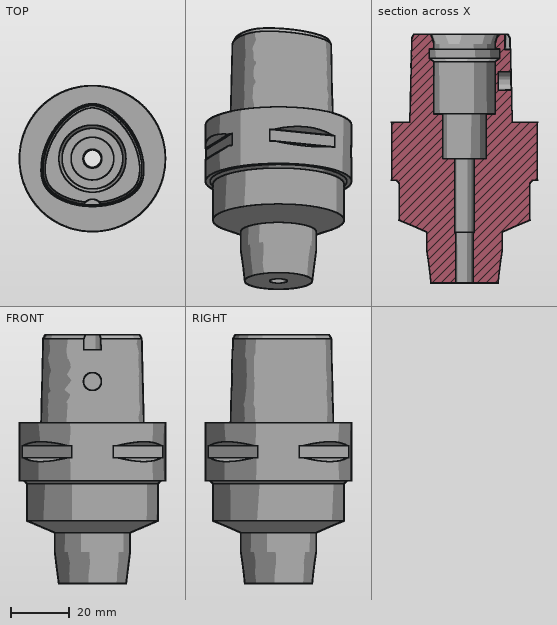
import cadquery as cq
import math

height = 85.0

nose_tip_radius = 11.6
nose_radius = 12.9
nose_taper_top = 10.7
nose_top = 17.3
body_radius = 22.4
body_bottom = 21.4
body_top = 34.1
flange_radius = 25.0
flange_relief_radius = 23.4
flange_bottom = 35.1
flange_top = 55.0

shank_base_radius = 17.6
shank_end_radius = 16.9
lobe_height = 1.2
shank_chamfer_height = 1.4
shank_chamfer_inset = 0.8
profile_points = 48

mouth_radius = 11.5
bore_radius = 10.4
groove_radius = 12.0
mouth_depth = 3.3
groove_start_depth = 5.1
groove_end_depth = 8.2
groove_taper_depth = 9.35
bore_depth = 27.2
pilot_radius = 7.3
pilot_depth = 42.5
through_radius = 3.2
nose_hole_radius = 3.0
nose_hole_top = nose_top

notch_radius = 3.3
notch_center = 17.2
notch_depth = 5.2
cross_hole_radius = 3.1
cross_hole_level = 69.0
cross_hole_floor = 11.6

slot_count = 4
slot_start_angle = 45.0
slot_floor_distance = 21.9
slot_flare_distance = 22.6
slot_floor_height = 4.1
slot_side_rise = 1.4
slot_level = 45.05


def turned_body():
    outline = [
        (0, 0),
        (nose_tip_radius, 0),
        (nose_radius, nose_taper_top),
        (nose_radius, nose_top),
        (body_radius, body_bottom),
        (body_radius, body_top),
        (flange_relief_radius, flange_bottom),
        (flange_radius, flange_bottom),
        (flange_radius, flange_top),
        (0, flange_top),
    ]
    return cq.Workplane("XZ").polyline(outline).close().revolve(360, (0, 0), (0, 1))


def lobed_wire(mean_radius, level):
    """Constant-width profile with one lobe on +Y, built from its tangent distance."""
    points = []
    for i in range(profile_points):
        angle = 2 * math.pi * i / profile_points
        distance = mean_radius - lobe_height * math.sin(3 * angle)
        slope = -3 * lobe_height * math.cos(3 * angle)
        x = distance * math.cos(angle) - slope * math.sin(angle)
        y = distance * math.sin(angle) + slope * math.cos(angle)
        points.append(cq.Vector(x, y, level))
    return cq.Wire.assembleEdges([cq.Edge.makeSpline(points, periodic=True)])


def polygon_shank():
    chamfer_level = height - shank_chamfer_height
    base = lobed_wire(shank_base_radius, flange_top)
    shoulder = lobed_wire(shank_end_radius, chamfer_level)
    end = lobed_wire(shank_end_radius - shank_chamfer_inset, height)
    taper = cq.Solid.makeLoft([base, shoulder], True)
    chamfer = cq.Solid.makeLoft([shoulder, end], True)
    return cq.Workplane(taper).union(cq.Workplane(chamfer))


def stepped_bore():
    outline = [
        (0, height),
        (mouth_radius, height),
        (bore_radius, height - mouth_depth),
        (bore_radius, height - groove_start_depth),
        (groove_radius, height - groove_start_depth),
        (groove_radius, height - groove_end_depth),
        (bore_radius, height - groove_taper_depth),
        (bore_radius, height - bore_depth),
        (pilot_radius, height - bore_depth),
        (pilot_radius, height - pilot_depth),
        (through_radius, height - pilot_depth),
        (through_radius, nose_hole_top),
        (nose_hole_radius, nose_hole_top),
        (nose_hole_radius, 0),
        (0, 0),
    ]
    return cq.Workplane("XZ").polyline(outline).close().revolve(360, (0, 0), (0, 1))


def key_notch():
    floor = cq.Workplane("XY", origin=(0, -notch_center, height - notch_depth))
    return floor.circle(notch_radius).extrude(notch_depth)


def cross_hole():
    """Flat-bottomed radial hole, stopping short of the bore."""
    axis_plane = cq.Workplane("XZ", origin=(0, -cross_hole_floor, cross_hole_level))
    return axis_plane.circle(cross_hole_radius).extrude(flange_radius - cross_hole_floor)


def gripper_slot(angle):
    """Flat-bottomed slot with short upright sides that flare outward to the rim."""
    floor_half = slot_floor_height / 2
    mouth_half = floor_half + slot_side_rise
    section = [
        (slot_floor_distance, slot_level - floor_half),
        (slot_flare_distance, slot_level - floor_half),
        (flange_radius, slot_level - mouth_half),
        (flange_radius, slot_level + mouth_half),
        (slot_flare_distance, slot_level + floor_half),
        (slot_floor_distance, slot_level + floor_half),
    ]
    slot = cq.Workplane("XZ").polyline(section).close().extrude(flange_radius, both=True)
    return slot.rotate((0, 0, 0), (0, 0, 1), angle)


result = turned_body().union(polygon_shank())
result = result.cut(stepped_bore()).cut(key_notch()).cut(cross_hole())
for i in range(slot_count):
    result = result.cut(gripper_slot(slot_start_angle + i * 360 / slot_count))